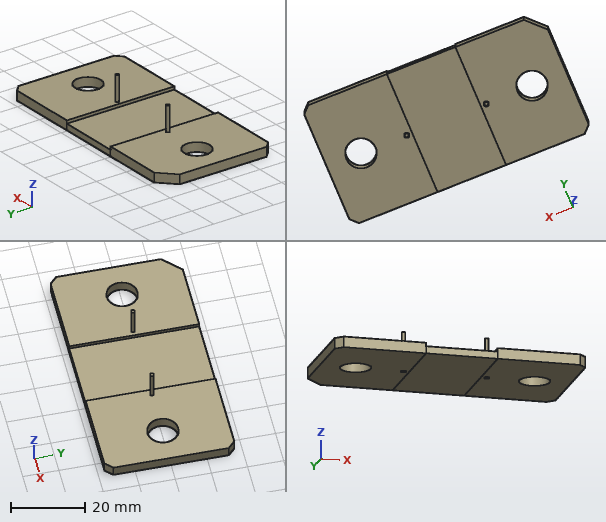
import cadquery as cq

length = 70.0
width = 36.0
bridge_length = 20.0
plate_thickness = 3.0
bridge_thickness = 2.0

corner_chamfer = 2.0
key_chamfer = 5.0

mount_hole_diameter = 8.5
mount_hole_x = 25.0

pin_diameter = 1.05
pin_projection = 8.0
pin_x = 11.6
pin_head_diameter = 1.5
pin_head_height = 0.1

LEFT = -1
RIGHT = 1


def make_end_plate(side, back_chamfer):
    """End plate with chamfered outer corners, a mounting hole and a pin hole."""
    outer_x = side * length / 2
    inner_x = side * bridge_length / 2
    half_width = width / 2
    outline = [
        (inner_x, -half_width),
        (outer_x - side * corner_chamfer, -half_width),
        (outer_x, -half_width + corner_chamfer),
        (outer_x, half_width - back_chamfer),
        (outer_x - side * back_chamfer, half_width),
        (inner_x, half_width),
    ]
    plate = cq.Workplane("XY").polyline(outline).close().extrude(plate_thickness)
    mount_hole = (
        cq.Workplane("XY")
        .center(side * mount_hole_x, 0)
        .circle(mount_hole_diameter / 2)
        .extrude(plate_thickness)
    )
    pin_hole = (
        cq.Workplane("XY")
        .center(side * pin_x, 0)
        .circle(pin_diameter / 2)
        .extrude(plate_thickness)
    )
    return plate.cut(mount_hole).cut(pin_hole)


def make_bridge():
    """Thin plate between the end plates, flush with their underside."""
    return cq.Workplane("XY").box(
        bridge_length, width, bridge_thickness, centered=(True, True, False)
    )


def make_pin(side):
    """Round pin through an end plate, with a thin head under the plate."""
    shank = (
        cq.Workplane("XY")
        .center(side * pin_x, 0)
        .circle(pin_diameter / 2)
        .extrude(plate_thickness + pin_projection)
    )
    head = (
        cq.Workplane("XY")
        .center(side * pin_x, 0)
        .circle(pin_head_diameter / 2)
        .extrude(-pin_head_height)
    )
    return shank.union(head)


left_plate = make_end_plate(LEFT, key_chamfer)
right_plate = make_end_plate(RIGHT, corner_chamfer)
bridge = make_bridge()
pins = [make_pin(side).val() for side in (LEFT, RIGHT)]

result = cq.Compound.makeCompound(
    [left_plate.val(), right_plate.val(), bridge.val(), *pins]
)